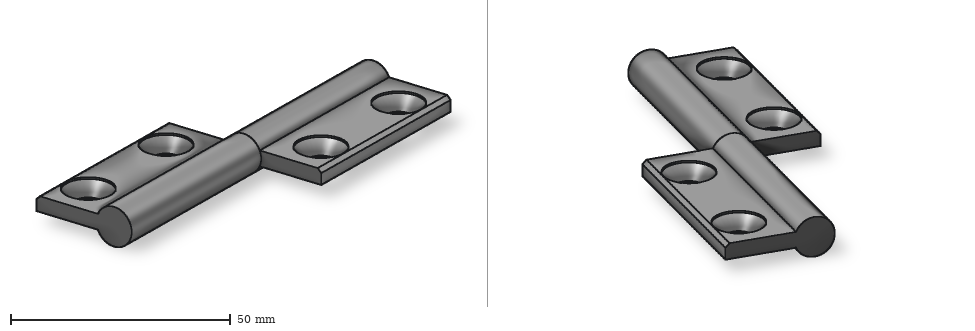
import cadquery as cq


barrel_diameter = 10.0
leaf_length = 50.0
leaf_reach = 22.0
plate_thickness = 4.0
plate_top = plate_thickness / 2

bevel = 1.0

screw_hole_diameter = 6.3
countersink_diameter = 12.6
countersink_angle = 90.0
countersink_rim_depth = 0.5
screw_offset = 14.6
screw_spacing = 30.0


def countersunk_holes(leaf):
    """Cut the two screw holes, each with a short straight rim above its cone."""
    first_y = (leaf_length - screw_spacing) / 2
    centres = [(screw_offset, first_y), (screw_offset, first_y + screw_spacing)]
    leaf = (
        leaf.copyWorkplane(cq.Workplane("XY", origin=(0, 0, plate_top)))
        .pushPoints(centres)
        .hole(countersink_diameter, countersink_rim_depth)
    )
    cone_top = plate_top - countersink_rim_depth
    return (
        leaf.copyWorkplane(cq.Workplane("XY", origin=(0, 0, cone_top)))
        .pushPoints(centres)
        .cskHole(screw_hole_diameter, countersink_diameter, countersink_angle)
    )


def make_leaf():
    """Leaf on the +X, +Y side of the hinge axis."""
    barrel = cq.Workplane("XZ").circle(barrel_diameter / 2).extrude(-leaf_length)
    plate = (
        cq.Workplane("XZ")
        .moveTo(0, -plate_top)
        .lineTo(leaf_reach, -plate_top)
        .lineTo(leaf_reach, plate_top - bevel)
        .lineTo(leaf_reach - bevel, plate_top)
        .lineTo(0, plate_top)
        .close()
        .extrude(-leaf_length)
    )
    return countersunk_holes(barrel.union(plate))


leaves = [make_leaf().rotate((0, 0, 0), (0, 0, 1), turn) for turn in (0, 180)]

result = cq.Compound.makeCompound([leaf.val() for leaf in leaves])